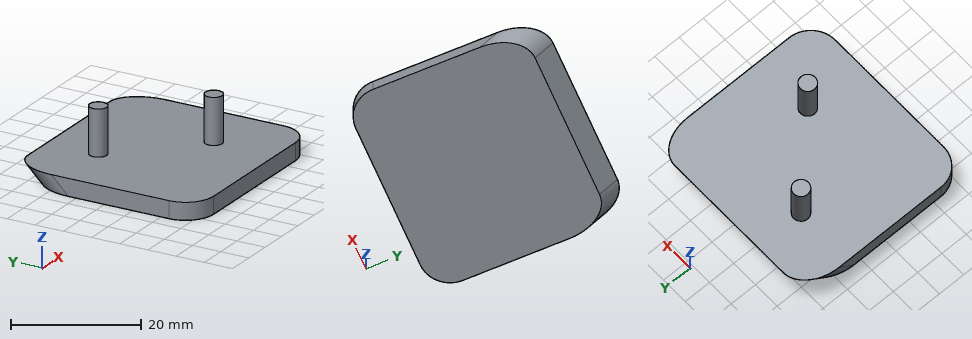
import cadquery as cq

width = 35.0
top_depth = 33.0
plate_thickness = 3.0
bottom_depth = top_depth - plate_thickness
corner_radius = 5.0

total_height = 11.0
pin_diameter = 3.0
pin_height = total_height - plate_thickness
pin_spacing = 13.0
pin_middle_y = 17.5


def make_upright_block():
    """Block with its front face at Y = 0, its underside at Z = 0 and upright front corner rounds."""
    return (
        cq.Workplane("XY")
        .box(width, top_depth, plate_thickness, centered=(True, False, False))
        .edges("|Z and <Y")
        .fillet(corner_radius)
    )


def make_leaning_block():
    """Bar along the 45 degree lean whose outer face and corner rounds form the back of the plate."""
    reach = width
    lean_plane = cq.Plane(origin=(0, bottom_depth, 0), xDir=(1, 0, 0), normal=(0, 1, 1))
    return (
        cq.Workplane(lean_plane)
        .moveTo(-width / 2, -reach)
        .lineTo(width / 2, -reach)
        .lineTo(width / 2, -corner_radius)
        .radiusArc((width / 2 - corner_radius, 0), -corner_radius)
        .lineTo(-width / 2 + corner_radius, 0)
        .radiusArc((-width / 2, -corner_radius), -corner_radius)
        .close()
        .extrude(reach, both=True)
    )


def make_pins():
    """Back-left and front-right pins."""
    offset = pin_spacing / 2
    centers = [
        (-offset, pin_middle_y + offset),
        (offset, pin_middle_y - offset),
    ]
    return (
        cq.Workplane("XY")
        .workplane(offset=plate_thickness)
        .pushPoints(centers)
        .circle(pin_diameter / 2)
        .extrude(pin_height)
    )


plate = make_upright_block().intersect(make_leaning_block())
result = plate.union(make_pins())